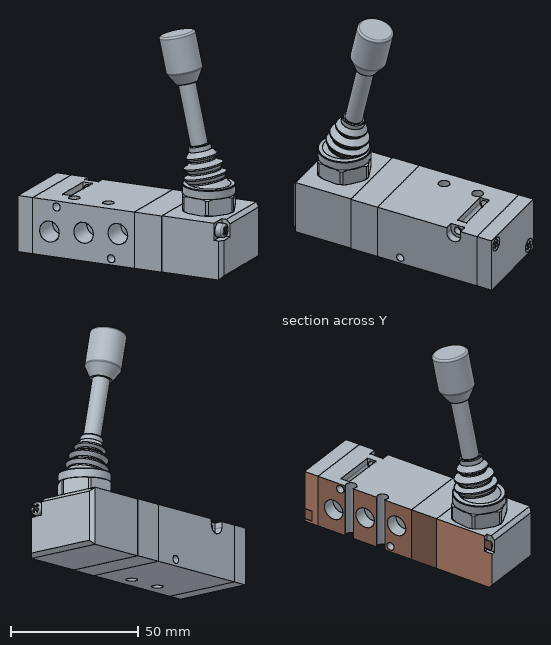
import cadquery as cq
import math

total_length = 89.5
width = 34.5
height = 23.15
cap_length = 6.5
ported_length = 44.5
spacer_length = 12.0
head_width = 34.0
head_chamfer = 1.6
ported_start = cap_length
spacer_start = ported_start + ported_length
head_start = spacer_start + spacer_length
front_y = -width / 2
back_y = width / 2

port_radius = 4.3
port_depth = 11.4
port_pitch = 15.0
port_rise = 1.5
first_port_x = 13.85
first_port_z = 10.15
port_count = 3

cross_hole_radius = 1.6
upper_cross_hole = (17.0, 20.7)
lower_cross_hole = (40.9, 2.7)
vertical_hole_radius = 2.3
vertical_hole_y = -10.2
vertical_hole_xs = (21.3, 36.2)

nut_slot_radius = 3.0
nut_slot_depth = 3.5
long_slot_radius = 2.0
long_slot_back_y = 10.4
long_slot_front_y = -8.2

screw_radius = 2.8
screw_length = 3.3
screw_rounding = 0.9
screw_y = 13.5
screw_edge_gap = 3.6
cross_length = 3.3
cross_width = 0.95
cross_depth = 0.9
cross_angle = 45
low_screw_z = screw_edge_gap
high_screw_z = height - screw_edge_gap
cap_screw_places = ((screw_y, high_screw_z), (-screw_y, low_screw_z))

notch_length = 3.6
notch_clearance = 0.6

lever_x = 75.2
hex_height = 6.8
hex_across_flats = 20.1
hex_corner_radius = 11.3
hex_turn = -7.5
hex_edge_chamfer = 0.5
collar_radius = 10.5
collar_chamfer = 0.3
collar_height = 3.7
nut_top_z = height + hex_height + collar_height

lever_tilt = 12.4
pivot_z = 29.8
rod_radius = 3.6
knob_radius = 7.4
knob_neck_radius = 4.5
knob_cone_start = 45.0
knob_cone_end = 50.0
knob_top = 65.2
knob_top_fillet = 0.9
knob_shoulder_fillet = 0.9

boot_base_radius = 9.7
boot_base = 1.4
boot_collar_radius = 4.65
boot_collar_bottom = 17.5
boot_collar_top = 19.8
boot_collar_chamfer = 0.4
fold_flat = 0.6
boot_folds = (
    ((7.6, 5.0), (8.7, 7.2)),
    ((6.6, 8.9), (8.1, 11.1)),
    ((5.2, 13.4), (6.45, 15.0)),
)


def block(start, length, block_width):
    """Block of full height, centred on Y = 0."""
    shape = cq.Workplane("XY").box(length, block_width, height, centered=(False, True, False))
    return shape.translate((start, 0, 0))


def cylinder(origin, direction, radius, length):
    """Cylinder that starts at origin and runs along direction."""
    return cq.Workplane(cq.Solid.makeCylinder(radius, length, cq.Vector(*origin), cq.Vector(*direction)))


def top_slot(radius, start_y, length):
    """Cutter for a slot along Y with a round bottom on the upper cross hole, open at the top."""
    slot_x, slot_z = upper_cross_hole
    bottom = cylinder((slot_x, start_y, slot_z), (0, 1, 0), radius, length)
    opening = cq.Workplane("XY").box(2 * radius, length, height - slot_z, centered=(True, False, False))
    return bottom.union(opening.translate((slot_x, start_y, slot_z)))


def make_screw(rim_rounding=0):
    """Screw head along +X with its cross-recessed face on X = 0 and an optional rounded rim."""
    screw = cylinder((0, 0, 0), (1, 0, 0), screw_radius, screw_length)
    if rim_rounding:
        screw = screw.faces("<X").edges().fillet(rim_rounding)
    for angle in (cross_angle, cross_angle + 90):
        bar = cq.Workplane("XY").box(cross_depth, cross_length, cross_width, centered=(False, True, True))
        screw = screw.cut(bar.rotate((0, 0, 0), (1, 0, 0), angle))
    return screw


def make_cap():
    """End block with a round recess for each cap screw."""
    cap = block(0, cap_length, width)
    for y, z in cap_screw_places:
        cap = cap.cut(cylinder((0, y, z), (1, 0, 0), screw_radius, screw_length))
    return cap


def make_ported_block():
    """Block with the three ports, the mounting holes and the slots."""
    ported = block(ported_start, ported_length, width)
    for i in range(port_count):
        port_x = first_port_x + i * port_pitch
        port_z = first_port_z + i * port_rise
        ported = ported.cut(cylinder((port_x, front_y, port_z), (0, 1, 0), port_radius, port_depth))
    for x, z in (upper_cross_hole, lower_cross_hole):
        ported = ported.cut(cylinder((x, front_y, z), (0, 1, 0), cross_hole_radius, width))
    for x in vertical_hole_xs:
        ported = ported.cut(cylinder((x, vertical_hole_y, 0), (0, 0, 1), vertical_hole_radius, height))
    ported = ported.cut(top_slot(nut_slot_radius, back_y - nut_slot_depth, nut_slot_depth))
    return ported.cut(top_slot(long_slot_radius, long_slot_front_y, long_slot_back_y - long_slot_front_y))


def make_head():
    """Slightly narrower end block with chamfered end edges and a corner notch for its screw."""
    head = block(head_start, total_length - head_start, head_width)
    head = head.faces(">X").edges().chamfer(head_chamfer)
    notch_reach = screw_radius + notch_clearance
    notch_back_y = -screw_y + notch_reach
    notch_bottom_z = high_screw_z - notch_reach
    notch = cq.Workplane("XY").box(
        notch_length, notch_back_y - front_y, height - notch_bottom_z, centered=False
    )
    return head.cut(notch.translate((total_length - notch_length, front_y, notch_bottom_z)))


def make_nut():
    """Hexagon with rounded corners and bevelled ends, with a collar on top."""
    circumscribed = hex_across_flats / math.cos(math.radians(30))
    hexagon = cq.Workplane("XY").polygon(6, circumscribed).extrude(hex_height)
    hexagon = hexagon.rotate((0, 0, 0), (0, 0, 1), hex_turn)
    bevel_run = hex_corner_radius - collar_radius
    envelope = (
        cq.Workplane("XY")
        .circle(hex_corner_radius)
        .extrude(hex_height)
        .edges()
        .chamfer(hex_edge_chamfer, bevel_run)
    )
    collar = cylinder((0, 0, hex_height), (0, 0, 1), collar_radius, collar_height)
    collar = collar.faces(">Z").edges().chamfer(collar_chamfer)
    return hexagon.intersect(envelope).union(collar).translate((lever_x, 0, height))


def lever_outline():
    """Half section of the boot, rod and knob: radius along X, distance along Y."""
    points = [(0, boot_base), (boot_base_radius, boot_base)]
    for fold in boot_folds:
        for radius, distance in fold:
            points.append((radius, distance - fold_flat / 2))
            points.append((radius, distance + fold_flat / 2))
    points += [
        (boot_collar_radius, boot_collar_bottom),
        (boot_collar_radius, boot_collar_top - boot_collar_chamfer),
        (boot_collar_radius - boot_collar_chamfer, boot_collar_top),
        (rod_radius, boot_collar_top),
        (rod_radius, knob_cone_start),
        (knob_neck_radius, knob_cone_start),
        (knob_radius, knob_cone_end),
        (knob_radius, knob_top),
        (0, knob_top),
    ]
    return cq.Workplane("XZ").polyline(points).close()


def make_lever():
    """Tilted lever whose boot is cut flat where it rests on the nut."""
    lever = lever_outline().revolve(360, (0, 0, 0), (0, 1, 0))
    lever = lever.faces(">Z").edges().fillet(knob_top_fillet)
    shoulder = cq.NearestToPointSelector((0, 0, knob_cone_end))
    lever = lever.edges(shoulder).fillet(knob_shoulder_fillet)
    lever = lever.rotate((0, 0, 0), (0, 1, 0), -lever_tilt).translate((lever_x, 0, pivot_z))
    below_nut_top = cq.Workplane("XY").box(total_length, width, nut_top_z, centered=(False, True, False))
    return lever.cut(below_nut_top)


cap = make_cap()
ported_block = make_ported_block()
spacer = block(spacer_start, spacer_length, width)
head = make_head()
nut = make_nut()
lever = make_lever()
cap_screws = [make_screw().translate((0, y, z)) for y, z in cap_screw_places]

head_screw_face_x = total_length - notch_length + screw_length
head_screw = make_screw(screw_rounding).rotate((0, 0, 0), (0, 0, 1), 180)
head_screw = head_screw.translate((head_screw_face_x, -screw_y, high_screw_z))

result = cq.Compound.makeCompound(
    [
        cap.val(),
        ported_block.val(),
        spacer.val(),
        head.val(),
        nut.val(),
        lever.val(),
        *[screw.val() for screw in cap_screws],
        head_screw.val(),
    ]
)